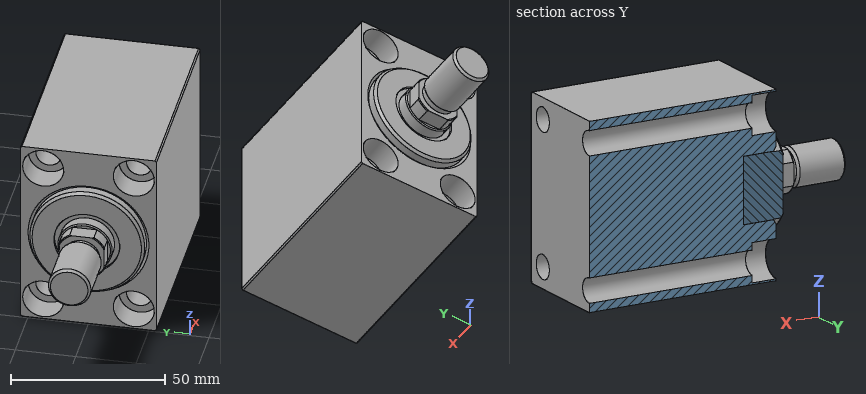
import cadquery as cq


OVERALL_LENGTH = 101.0
BLOCK_LENGTH = 70.0
BLOCK_WIDTH = 45.0
BLOCK_HEIGHT = 65.0
BLOCK_EDGE_CHAMFER = 0.5

SCREW_SPACING_Y = 30.0
SCREW_SPACING_Z = 50.0
SCREW_HOLE_DIAMETER = 8.5
COUNTERBORE_DIAMETER = 13.5
COUNTERBORE_DEPTH = 9.0

GLAND_DIAMETER = 38.0
GLAND_PROTRUSION = 2.7
GLAND_DEPTH = 12.1
GLAND_CHAMFER = 0.9
BORE_CHAMFER = 1.0

WIPER_DIAMETER = 21.7
WIPER_LENGTH = 4.0
WIPER_RECESS = 1.0

ROD_DIAMETER = 18.0
ROD_PROTRUSION = OVERALL_LENGTH - BLOCK_LENGTH
SHOULDER_PROTRUSION = 5.9
SHOULDER_CHAMFER_AXIAL = 0.3
SHOULDER_CHAMFER_RADIAL = 0.5
COLLAR_DIAMETER = 17.0
COLLAR_LENGTH = 5.2
COLLAR_CHAMFER = 0.3
COLLAR_ACROSS_FLATS = 14.9
NECK_DIAMETER = 12.0
NECK_LENGTH = 1.8
THREAD_DIAMETER = 14.0
THREAD_TIP_CHAMFER = 0.8
THREAD_RUNOUT = 0.8

gland_front = -GLAND_PROTRUSION
wiper_front = gland_front + WIPER_RECESS
wiper_back = wiper_front + WIPER_LENGTH
shank_front = -SHOULDER_PROTRUSION
collar_front = shank_front - COLLAR_LENGTH
thread_end = collar_front - NECK_LENGTH
rod_tip = -ROD_PROTRUSION


def cylinder(diameter, x_start, x_end):
    """Solid cylinder on the rod axis between two X positions."""
    return cq.Workplane("YZ", origin=(x_start, 0, 0)).circle(diameter / 2).extrude(x_end - x_start)


def make_housing():
    block = (
        cq.Workplane("YZ")
        .rect(BLOCK_WIDTH, BLOCK_HEIGHT)
        .extrude(BLOCK_LENGTH)
        .edges("|X")
        .chamfer(BLOCK_EDGE_CHAMFER)
    )
    bored_block = (
        block.cut(cylinder(GLAND_DIAMETER, 0, GLAND_DEPTH))
        .faces("<X")
        .edges("%CIRCLE")
        .chamfer(BORE_CHAMFER)
    )
    screw_centres = (
        cq.Workplane("YZ")
        .rect(SCREW_SPACING_Y, SCREW_SPACING_Z, forConstruction=True)
        .vertices()
    )
    screw_holes = screw_centres.circle(SCREW_HOLE_DIAMETER / 2).extrude(BLOCK_LENGTH)
    counterbores = screw_centres.circle(COUNTERBORE_DIAMETER / 2).extrude(COUNTERBORE_DEPTH)
    return bored_block.cut(screw_holes).cut(counterbores)


def make_gland():
    disc = cylinder(GLAND_DIAMETER, gland_front, GLAND_DEPTH).faces("<X").chamfer(GLAND_CHAMFER)
    rod_bore = cylinder(ROD_DIAMETER, gland_front, GLAND_DEPTH)
    wiper_seat = cylinder(WIPER_DIAMETER, gland_front, wiper_back)
    return disc.cut(rod_bore).cut(wiper_seat)


def make_wiper():
    ring = cylinder(WIPER_DIAMETER, wiper_front, wiper_back)
    return ring.cut(cylinder(ROD_DIAMETER, wiper_front, wiper_back))


def make_collar():
    """Short cylinder with a bevelled front rim and four flats."""
    round_collar = cylinder(COLLAR_DIAMETER, collar_front, shank_front).faces("<X").chamfer(COLLAR_CHAMFER)
    square_bar = (
        cq.Workplane("YZ", origin=(collar_front, 0, 0))
        .rect(COLLAR_ACROSS_FLATS, COLLAR_ACROSS_FLATS)
        .extrude(COLLAR_LENGTH)
    )
    return round_collar.intersect(square_bar)


def make_thread():
    """Plain cylinder for the thread, with a bevelled tip and a cone down to the neck."""
    runout_depth = (THREAD_DIAMETER - NECK_DIAMETER) / 2
    return (
        cylinder(THREAD_DIAMETER, rod_tip, thread_end)
        .faces("<X")
        .chamfer(THREAD_TIP_CHAMFER)
        .faces(">X")
        .chamfer(THREAD_RUNOUT, runout_depth)
    )


def make_rod():
    radius = ROD_DIAMETER / 2
    shank = (
        cq.Workplane("XY")
        .moveTo(shank_front, 0)
        .lineTo(shank_front, radius - SHOULDER_CHAMFER_RADIAL)
        .lineTo(shank_front + SHOULDER_CHAMFER_AXIAL, radius)
        .lineTo(GLAND_DEPTH, radius)
        .lineTo(GLAND_DEPTH, 0)
        .close()
        .revolve(360, (0, 0, 0), (1, 0, 0))
    )
    neck = cylinder(NECK_DIAMETER, thread_end, collar_front)
    return shank.union(make_collar()).union(neck).union(make_thread())


housing = make_housing()
gland = make_gland()
wiper = make_wiper()
rod = make_rod()

result = cq.Compound.makeCompound([housing.val(), gland.val(), wiper.val(), rod.val()])